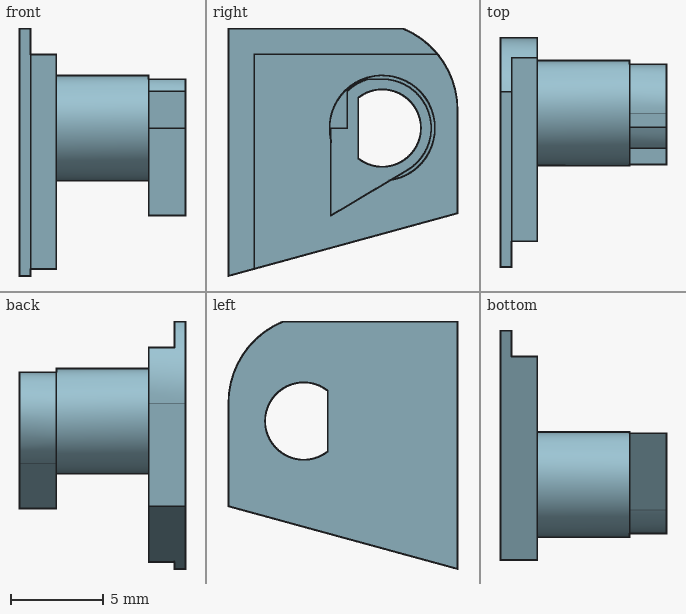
import cadquery as cq
import math

PLATE_THICKNESS = 0.6
PLATE_LEFT = 4.09
PLATE_WIDTH = 12.44
PLATE_TOP = 5.4
PLATE_HEIGHT = 13.42
BOTTOM_SLOPE = math.radians(15.3)
CORNER_RADIUS = 4.8
CORNER_START_Z = 0.97

INNER_PLATE_END = 2.0
TOP_SETBACK = 1.4
SIDE_SETBACK = 1.4

BARREL_RADIUS = 2.86
BARREL_END = 7.0
BORE_RADIUS = 2.1
BORE_FLAT_Y = -1.29

LATCH_END = 9.0
LATCH_RADIUS = 2.66
LATCH_CREST_RADIUS = 2.76
LATCH_SHOULDER_Y = -1.9
LATCH_STEP_Z = 0.0
LATCH_TIP_Y = -2.79
LATCH_TIP_Z = -4.75

PLATE_RIGHT = PLATE_LEFT - PLATE_WIDTH
PLATE_BOTTOM = PLATE_TOP - PLATE_HEIGHT


def plate(right, top, start, end):
    """Plate with a round upper corner and a sloping bottom, from X = start to X = end."""
    def bottom_at(y):
        return PLATE_BOTTOM + (y - PLATE_RIGHT) * math.tan(BOTTOM_SLOPE)

    center_y = PLATE_LEFT - CORNER_RADIUS
    arc_angle = math.asin((top - CORNER_START_Z) / CORNER_RADIUS)

    def corner_point(angle):
        return (
            center_y + CORNER_RADIUS * math.cos(angle),
            CORNER_START_Z + CORNER_RADIUS * math.sin(angle),
        )

    return (
        cq.Workplane("YZ", origin=(start, 0, 0))
        .moveTo(right, bottom_at(right))
        .lineTo(PLATE_LEFT, bottom_at(PLATE_LEFT))
        .lineTo(PLATE_LEFT, CORNER_START_Z)
        .threePointArc(corner_point(arc_angle / 2), corner_point(arc_angle))
        .lineTo(right, top)
        .close()
        .extrude(end - start)
    )


def latch():
    """Round end with a flat top and a toe whose underside is tangent to the round."""
    flat_end_angle = math.pi - math.asin(LATCH_RADIUS / LATCH_CREST_RADIUS)
    shoulder_angle = math.acos(LATCH_SHOULDER_Y / LATCH_CREST_RADIUS)

    tip_angle = math.atan2(LATCH_TIP_Z, LATCH_TIP_Y)
    tip_distance = math.hypot(LATCH_TIP_Y, LATCH_TIP_Z)
    tangent_angle = tip_angle + math.acos(LATCH_RADIUS / tip_distance)
    round_middle_angle = (tangent_angle + math.pi / 2) / 2

    def polar(radius, angle):
        return (radius * math.cos(angle), radius * math.sin(angle))

    return (
        cq.Workplane("YZ", origin=(BARREL_END, 0, 0))
        .moveTo(0, LATCH_RADIUS)
        .lineTo(*polar(LATCH_CREST_RADIUS, flat_end_angle))
        .threePointArc(
            polar(LATCH_CREST_RADIUS, (flat_end_angle + shoulder_angle) / 2),
            polar(LATCH_CREST_RADIUS, shoulder_angle),
        )
        .lineTo(LATCH_SHOULDER_Y, LATCH_STEP_Z)
        .lineTo(LATCH_TIP_Y, LATCH_STEP_Z)
        .lineTo(LATCH_TIP_Y, LATCH_TIP_Z)
        .lineTo(*polar(LATCH_RADIUS, tangent_angle))
        .threePointArc(polar(LATCH_RADIUS, round_middle_angle), (0, LATCH_RADIUS))
        .close()
        .extrude(LATCH_END - BARREL_END)
    )


def bore():
    """D-shaped bore through the whole part, flat on its -Y side."""
    half_flat = math.sqrt(BORE_RADIUS**2 - BORE_FLAT_Y**2)
    return (
        cq.Workplane("YZ")
        .moveTo(BORE_FLAT_Y, -half_flat)
        .threePointArc((BORE_RADIUS, 0), (BORE_FLAT_Y, half_flat))
        .close()
        .extrude(LATCH_END)
    )


face_plate = plate(PLATE_RIGHT, PLATE_TOP, 0, PLATE_THICKNESS)
inner_plate = plate(
    PLATE_RIGHT + SIDE_SETBACK, PLATE_TOP - TOP_SETBACK, PLATE_THICKNESS, INNER_PLATE_END
)
barrel = (
    cq.Workplane("YZ", origin=(INNER_PLATE_END, 0, 0))
    .circle(BARREL_RADIUS)
    .extrude(BARREL_END - INNER_PLATE_END)
)

result = face_plate.union(inner_plate).union(barrel).union(latch()).cut(bore())